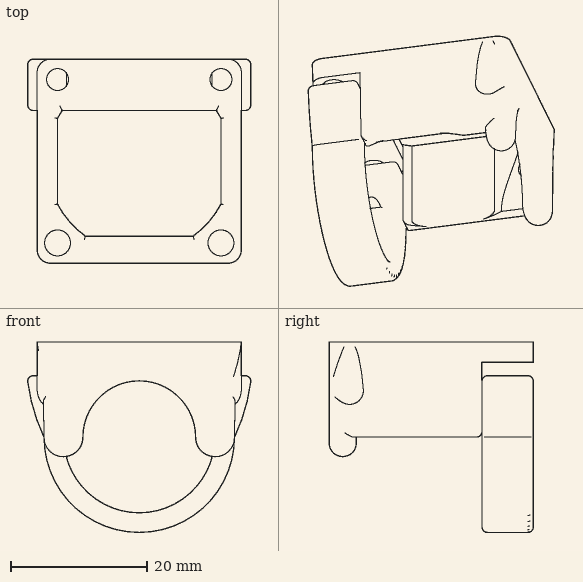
import cadquery as cq
import math

PLATE_SIDE = 30.0
PLATE_THICKNESS = 3.0
CORNER_RADIUS = 1.95
HOLE_OFFSET = 12.0
THROUGH_HOLE_DIAMETER = 3.2
BLIND_HOLE_DIAMETER = 3.8

AXIS_DEPTH = 14.0

FRONT_WALL_THICKNESS = 4.0
LEG_OUTER_X = 14.0
FLARE_DEPTH = 12.9
ARCH_RADIUS = 8.25
ARCH_CLEARANCE_RADIUS = 11.3
WALL_END_Y = 7.45
WALL_EDGE_RADIUS = 0.82

CAVITY_HALF_WIDTH = 12.0
CAVITY_CIRCLE_RADIUS = 13.55
WINDOW_EDGE_RADIUS = 1.0

BOSS_DEPTH = 7.0

CLIP_OUTER_RADIUS = LEG_OUTER_X
CLIP_INNER_RADIUS = 11.08
CLIP_TOP_DEPTH = 4.95
CLIP_TOP_HALF_WIDTH = 16.48
CLIP_FLANK_MIDDLE_X = 15.65
CLIP_EDGE_RADIUS = 0.82
CLIP_HOLE_FLOOR_DEPTH = 11.0

PLATE_HALF = PLATE_SIDE / 2
HOLE_XS = (-HOLE_OFFSET, HOLE_OFFSET)
BOSS_RADIUS = PLATE_HALF - HOLE_OFFSET
FRONT_WALL_BACK_Y = FRONT_WALL_THICKNESS - PLATE_HALF
FRONT_WALL_MIDDLE_Y = FRONT_WALL_THICKNESS / 2 - PLATE_HALF

SELECTION_MARGIN = 0.33


def xz_sketch_at(y):
    """Sketch in X and Z at the given Y; a negative extrusion runs toward +Y."""
    return cq.Workplane("XZ", origin=(0, y, 0))


def box_between(low, high):
    sizes = [b - a for a, b in zip(low, high)]
    return cq.Workplane("XY").box(*sizes, centered=False).translate(low)


def cylinder_down(x, y, top_z, radius, depth):
    return cq.Workplane("XY", origin=(x, y, top_z)).circle(radius).extrude(-depth)


def flare_middle():
    """Half-height point of the side curve, an arc that ends vertical at the foot of the flare."""
    run = PLATE_HALF - LEG_OUTER_X
    radius = (FLARE_DEPTH**2 + run**2) / (2 * run)
    z_up = FLARE_DEPTH / 2
    return LEG_OUTER_X + radius - math.sqrt(radius**2 - z_up**2), -z_up


def flared_outline(y):
    """Outline down to the axis height, from the left foot over the top to the right foot."""
    middle_x, middle_z = flare_middle()
    return (
        xz_sketch_at(y)
        .moveTo(-LEG_OUTER_X, -AXIS_DEPTH)
        .lineTo(-LEG_OUTER_X, -FLARE_DEPTH)
        .threePointArc((-middle_x, middle_z), (-PLATE_HALF, 0))
        .lineTo(PLATE_HALF, 0)
        .threePointArc((middle_x, middle_z), (LEG_OUTER_X, -FLARE_DEPTH))
        .lineTo(LEG_OUTER_X, -AXIS_DEPTH)
    )


def plate_and_side_walls():
    """Flared block behind the middle of the front wall, opened below the rear overhang and inside."""
    block = flared_outline(FRONT_WALL_MIDDLE_Y).close().extrude(FRONT_WALL_MIDDLE_Y - PLATE_HALF)
    block = block.faces(">Y").edges("not(<Z or >Z)").fillet(CORNER_RADIUS)
    under_plate = box_between(
        (-PLATE_SIDE, WALL_END_Y, -PLATE_SIDE), (PLATE_SIDE, PLATE_SIDE, -PLATE_THICKNESS)
    )
    between_legs = box_between(
        (-CAVITY_HALF_WIDTH, -PLATE_HALF, -PLATE_SIDE), (CAVITY_HALF_WIDTH, FRONT_WALL_BACK_Y, 0)
    )
    block = block.cut(under_plate).cut(between_legs).cut(cavity()).cut(arch_clearance())
    side_and_rear = cq.selectors.BoxSelector(
        (-PLATE_SIDE, -CAVITY_HALF_WIDTH / 2, -PLATE_SIDE), (PLATE_SIDE, PLATE_SIDE, 0)
    )
    return block.faces("<Z").edges("%LINE").edges(side_and_rear).fillet(WALL_EDGE_RADIUS)


def arch_clearance():
    """Round tunnel behind the front wall that keeps the cavity corners clear of the arch."""
    tunnel = xz_sketch_at(-PLATE_HALF).center(0, -AXIS_DEPTH).circle(ARCH_CLEARANCE_RADIUS)
    return tunnel.extrude(-PLATE_HALF)


def cavity():
    rectangle = box_between(
        (-CAVITY_HALF_WIDTH, FRONT_WALL_BACK_Y, -PLATE_SIDE), (CAVITY_HALF_WIDTH, WALL_END_Y, 0)
    )
    return rectangle.intersect(cylinder_down(0, 0, 0, CAVITY_CIRCLE_RADIUS, PLATE_SIDE))


def front_wall():
    """Arched wall whose two legs end in round feet; every edge except the top is rounded."""
    foot_radius = (LEG_OUTER_X - ARCH_RADIUS) / 2
    foot_x = ARCH_RADIUS + foot_radius
    foot_z = -AXIS_DEPTH - foot_radius
    wall = (
        flared_outline(-PLATE_HALF)
        .threePointArc((foot_x, foot_z), (ARCH_RADIUS, -AXIS_DEPTH))
        .threePointArc((0, ARCH_RADIUS - AXIS_DEPTH), (-ARCH_RADIUS, -AXIS_DEPTH))
        .threePointArc((-foot_x, foot_z), (-LEG_OUTER_X, -AXIS_DEPTH))
        .close()
        .extrude(-FRONT_WALL_THICKNESS)
    )
    return wall.faces("<Y or >Y").edges("not >Z").fillet(CORNER_RADIUS)


def screw_boss(x):
    cylinder = cylinder_down(x, -HOLE_OFFSET, 0, BOSS_RADIUS, BOSS_DEPTH)
    ball = cq.Workplane("XY").sphere(BOSS_RADIUS).translate((x, -HOLE_OFFSET, -BOSS_DEPTH))
    return cylinder.union(ball)


def make_housing():
    housing = plate_and_side_walls().union(front_wall())
    for x in HOLE_XS:
        housing = housing.union(screw_boss(x))
    for x in HOLE_XS:
        blind_hole = cylinder_down(x, -HOLE_OFFSET, 0, BLIND_HOLE_DIAMETER / 2, BOSS_DEPTH)
        through_hole = cylinder_down(x, HOLE_OFFSET, 0, THROUGH_HOLE_DIAMETER / 2, PLATE_THICKNESS)
        housing = housing.cut(blind_hole).cut(through_hole)
    window = cq.selectors.BoxSelector(
        (-CAVITY_CIRCLE_RADIUS, FRONT_WALL_BACK_Y - SELECTION_MARGIN, -SELECTION_MARGIN),
        (CAVITY_CIRCLE_RADIUS, WALL_END_Y + SELECTION_MARGIN, SELECTION_MARGIN),
    )
    return housing.faces(">Z").edges(window).fillet(WINDOW_EDGE_RADIUS)


def make_clip():
    """Open ring with two thick shoulders that carry the blind screw holes."""
    top_z = -CLIP_TOP_DEPTH
    gap_half = math.sqrt(CLIP_INNER_RADIUS**2 - (AXIS_DEPTH - CLIP_TOP_DEPTH) ** 2)
    flank_middle_z = -(AXIS_DEPTH + CLIP_TOP_DEPTH) / 2
    clip = (
        xz_sketch_at(WALL_END_Y)
        .moveTo(-gap_half, top_z)
        .lineTo(-CLIP_TOP_HALF_WIDTH, top_z)
        .threePointArc((-CLIP_FLANK_MIDDLE_X, flank_middle_z), (-CLIP_OUTER_RADIUS, -AXIS_DEPTH))
        .threePointArc((0, -AXIS_DEPTH - CLIP_OUTER_RADIUS), (CLIP_OUTER_RADIUS, -AXIS_DEPTH))
        .threePointArc((CLIP_FLANK_MIDDLE_X, flank_middle_z), (CLIP_TOP_HALF_WIDTH, top_z))
        .lineTo(gap_half, top_z)
        .threePointArc((0, -AXIS_DEPTH - CLIP_INNER_RADIUS), (-gap_half, top_z))
        .close()
        .extrude(WALL_END_Y - PLATE_HALF)
    )
    clip = clip.faces("<Y or >Y or >Z").edges().fillet(CLIP_EDGE_RADIUS)
    hole_depth = CLIP_HOLE_FLOOR_DEPTH - CLIP_TOP_DEPTH
    for x in HOLE_XS:
        clip = clip.cut(cylinder_down(x, HOLE_OFFSET, top_z, BLIND_HOLE_DIAMETER / 2, hole_depth))
    return clip


housing = make_housing()
clip = make_clip()
result = cq.Compound.makeCompound([housing.val(), clip.val()])